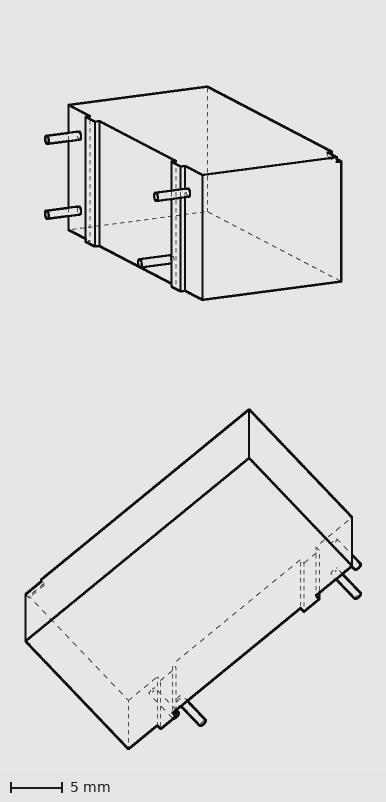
import cadquery as cq

length = 28.8
total_depth = 18.5
height = 12.5
body_depth = 15.0

rib_width = 2.0
rib_height = 0.5
rib_starts = (4.67, 23.1)

pin_diameter = 0.8
pin_length = total_depth - body_depth
pin_edge_offset = 2.5
lower_row = pin_edge_offset
upper_row = height - pin_edge_offset
left_column = 2.33
inner_column = 22.3
outer_column = 25.75
pin_positions = [
    (left_column, lower_row),
    (left_column, upper_row),
    (inner_column, lower_row),
    (outer_column, upper_row),
]

notch_length = 2.0
notch_width = 0.5
notch_depth = 0.5


def corner_box(x_size, y_size, z_size, corner):
    """Box whose lowest X, Y, Z corner is at the given point."""
    return cq.Workplane("XY").box(x_size, y_size, z_size, centered=False).translate(corner)


def make_pin(x, z):
    """Pin extending from the body's -Y face."""
    face = cq.Workplane("XZ").center(x, z)
    return face.circle(pin_diameter / 2).extrude(pin_length)


result = corner_box(length, body_depth, height, (0, 0, 0))

for rib_start in rib_starts:
    result = result.union(corner_box(rib_width, rib_height, height, (rib_start, -rib_height, 0)))

for pin_x, pin_z in pin_positions:
    result = result.union(make_pin(pin_x, pin_z))

notch_corner = (length - notch_length, body_depth - notch_width, height - notch_depth)
result = result.cut(corner_box(notch_length, notch_width, notch_depth, notch_corner))